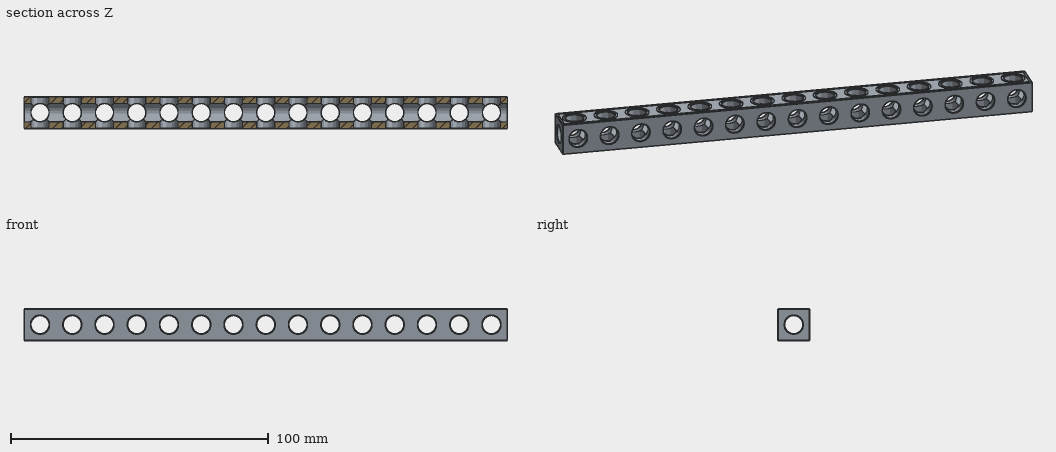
import cadquery as cq

length = 187.5
hole_count = 15
hole_diameter = 7.0
mouth_chamfer = 0.3
ring_diameter = 9.2
rim_width = 1.0
recess_depth = 0.2
edge_chamfer = 0.3

pitch = length / hole_count
side = pitch


def hole_centres(elevation=0):
    """One point at the middle of each cell along the beam."""
    return cq.Workplane("XY").workplane(offset=elevation).rarray(pitch, 1.9, hole_count, 1)


def through_hole(depth):
    """Cutter along Z, centred on the origin, for a hole with both mouths chamfered."""
    end = depth / 2
    radius = hole_diameter / 2
    mouth_radius = radius + mouth_chamfer
    return (
        cq.Workplane("XZ")
        .moveTo(0, -end)
        .lineTo(mouth_radius, -end)
        .lineTo(radius, mouth_chamfer - end)
        .lineTo(radius, end - mouth_chamfer)
        .lineTo(mouth_radius, end)
        .lineTo(0, end)
        .close()
        .revolve(360, (0, 0, 0), (0, 1, 0))
    )


def top_recess():
    """Shallow pocket inside a thin rim, leaving a ring standing around each hole."""
    floor = side / 2 - recess_depth
    pocket = (
        cq.Workplane("XY")
        .workplane(offset=floor)
        .rect(length - 2 * rim_width, side - 2 * rim_width)
        .extrude(recess_depth)
    )
    rings = hole_centres(floor).circle(ring_diameter / 2).extrude(recess_depth)
    return pocket.cut(rings)


beam = cq.Workplane("XY").box(length, side, side).edges().chamfer(edge_chamfer)

vertical_hole = through_hole(side)
sideways_hole = vertical_hole.rotate((0, 0, 0), (1, 0, 0), 90)
lengthwise_hole = through_hole(length).rotate((0, 0, 0), (0, 1, 0), 90)

vertical_row = hole_centres().eachpoint(vertical_hole.val())
sideways_row = hole_centres().eachpoint(sideways_hole.val())

result = beam.cut(top_recess()).cut(vertical_row).cut(sideways_row).cut(lengthwise_hole)